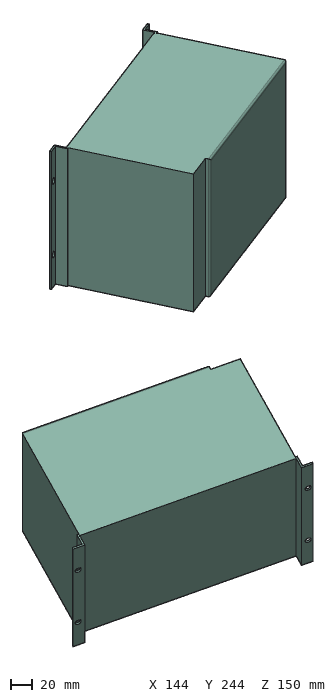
import cadquery as cq

total_depth = 144.0
total_width = 244.0
height = 150.0

sheet = 2.0
bracket_reach = 12.0
bracket_overlap = 2.0
hole_diameter = 6.0
hole_edge_distance = 5.1
hole_spacing = 80.0

box_width = total_width - 2 * bracket_reach
cover_thickness = 5.0
cover_width = 190.0
cover_edge_radius = 2.0
box_end = total_depth - cover_thickness


def make_box():
    return cq.Workplane("XY").box(
        box_end - bracket_reach, box_width, height, centered=(False, True, True)
    ).translate((bracket_reach, 0, 0))


def make_cover():
    """Plate flush with the +Y side of the box, rounded on its outer edges."""
    plate = cq.Workplane("XY").box(
        cover_thickness, cover_width, height, centered=(False, False, True)
    )
    plate = plate.faces(">X").edges().fillet(cover_edge_radius)
    return plate.translate((box_end, box_width / 2 - cover_width, 0))


def make_bracket():
    """Bracket on the +Y side: a web lapping the box and a drilled outward flange."""
    side = box_width / 2
    edge = total_width / 2
    web_end = bracket_reach + bracket_overlap
    outline = [
        (0, side),
        (web_end, side),
        (web_end, side + sheet),
        (sheet, side + sheet),
        (sheet, edge),
        (0, edge),
    ]
    bracket = cq.Workplane("XY").polyline(outline).close().extrude(height / 2, both=True)
    hole_y = edge - hole_edge_distance
    holes = (
        cq.Workplane("YZ")
        .pushPoints([(hole_y, -hole_spacing / 2), (hole_y, hole_spacing / 2)])
        .circle(hole_diameter / 2)
        .extrude(sheet)
    )
    return bracket.cut(holes)


bracket = make_bracket()
result = make_box().union(make_cover()).union(bracket).union(bracket.mirror("XZ"))